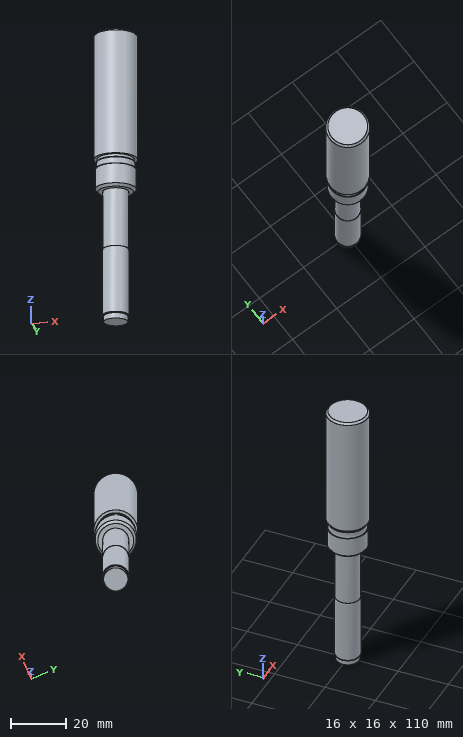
import cadquery as cq

total_length = 110.0
handle_bottom = 62.2
collar_top = 61.2
collar_bottom = 59.1
cap_top = 58.4
cap_bottom = 49.8
sleeve_top = 27.7
tip_top = 2.1

handle_dia = 16.0
handle_end_dia = 14.4
handle_chamfer_height = 0.8
neck_dia = 13.8
collar_dia = 14.2
collar_flare_dia = 14.4
collar_chamfer_height = 0.3
cap_dia = 15.0
cap_chamfer = 1.0

shank_dia = 9.5
sleeve_dia = 9.8
sleeve_lead_in_height = 0.7
sleeve_end_dia = 9.6
sleeve_chamfer_height = 0.3
tip_dia = 9.0
tip_end_dia = 8.9
tip_taper_height = 0.3


def revolve_outline(steps):
    """Revolve (diameter, height) steps, listed from the bottom up, about Z."""
    outline = [(diameter / 2, height) for diameter, height in steps]
    bottom = steps[0][1]
    top = steps[-1][1]
    closed_outline = [(0, bottom), *outline, (0, top)]
    return cq.Workplane("XZ").polyline(closed_outline).close().revolve(360, (0, 0), (0, 1))


def make_handle():
    """Plain grip, narrow neck, collar flaring slightly onto the cap, and chamfered cap."""
    return revolve_outline([
        (cap_dia - 2 * cap_chamfer, cap_bottom),
        (cap_dia, cap_bottom + cap_chamfer),
        (cap_dia, cap_top),
        (collar_flare_dia, cap_top),
        (collar_dia, collar_bottom),
        (collar_dia, collar_top - collar_chamfer_height),
        (neck_dia, collar_top),
        (neck_dia, handle_bottom),
        (handle_dia, handle_bottom),
        (handle_dia, total_length - handle_chamfer_height),
        (handle_end_dia, total_length),
    ])


def make_pin():
    """Stepped pin that butts against the underside of the cap."""
    return revolve_outline([
        (tip_end_dia, 0),
        (tip_dia, tip_taper_height),
        (tip_dia, tip_top),
        (shank_dia, tip_top),
        (sleeve_dia, tip_top + sleeve_chamfer_height),
        (sleeve_dia, sleeve_top - sleeve_lead_in_height),
        (sleeve_end_dia, sleeve_top),
        (shank_dia, sleeve_top),
        (shank_dia, cap_bottom),
    ])


handle = make_handle()
pin = make_pin()

result = cq.Compound.makeCompound([handle.val(), pin.val()])